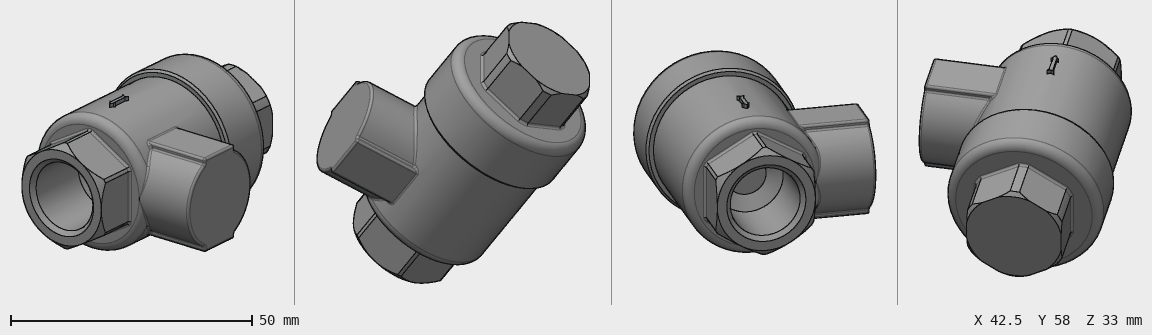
import cadquery as cq
import math

total_length = 58.0
inlet_hex_length = 9.5
body_length = 26.0
rear_hex_length = 10.0
body_front = inlet_hex_length
collar_front = body_front + body_length
collar_rear = total_length - rear_hex_length

body_radius = 15.0
collar_diameter = 33.0
collar_radius = collar_diameter / 2
shoulder_fillet = 2.05
small_fillet = 0.5
collar_chamfer = 0.5

inlet_flats = 21.0
inlet_bar_radius = 11.9
inlet_face_radius = inlet_flats / 2
rear_flats = 20.0
rear_bar_radius = 11.0
rear_face_radius = 10.2

bore_radius = 7.5
bore_mouth_radius = 8.45
bore_depth = 15.0
bore_floor_radius = 4.3
bore_tip_angle = 120.0
bore_cone_depth = (bore_radius - bore_floor_radius) / math.tan(math.radians(bore_tip_angle / 2))
bore_floor_depth = bore_depth + bore_cone_depth

overall_width = 42.5
port_radius = 10.5
port_end = overall_width - collar_radius
port_y = body_front + port_radius
rib_width = 10.0

arrow_tip = 16.05
arrow_tail = 21.5
arrow_half_width = 0.75
arrow_shaft_half_width = 0.4
arrow_head_length = 1.1
arrow_barb_slant = 0.3
arrow_tail_flare = 0.8
arrow_notch_depth = 0.45
arrow_top = 15.9


def along_y(start):
    """Workplane facing +Y at the given station, with local X along Z and local Y along X."""
    return cq.Workplane(cq.Plane(origin=(0, start, 0), xDir=(0, 0, 1), normal=(0, 1, 0)))


def revolve_about_y(points):
    """Full revolution about the main axis of a polygon given as (radius, station) points."""
    return cq.Workplane("XY").polyline(points).close().revolve(360, (0, 0, 0), (0, 1, 0))


def make_body():
    """Round body revolved about Y, with the shoulder round at its front built into the profile."""
    return (
        cq.Workplane("YZ")
        .moveTo(body_front, 0)
        .lineTo(body_front, body_radius - shoulder_fillet)
        .radiusArc((body_front + shoulder_fillet, body_radius), shoulder_fillet)
        .lineTo(collar_front, body_radius)
        .lineTo(collar_front, 0)
        .close()
        .revolve(360, (0, 0, 0), (1, 0, 0))
    )


def add_port(body):
    """Join the ribbed side port and blend its long edges and its junction with the body."""
    section = cq.Workplane("YZ").center(port_y, 0)
    barrel = section.circle(port_radius).extrude(port_end)
    ribs = section.rect(rib_width, 2 * port_radius).extrude(port_end)
    joined = body.union(barrel).union(ribs)

    blend_zone = cq.selectors.BoxSelector(
        (body_radius / 2, body_front + small_fillet, -body_radius),
        (port_end - small_fillet, collar_front - small_fillet, body_radius),
    )
    blended = joined.edges(blend_zone).fillet(small_fillet)
    return blended.faces(">X").edges().fillet(small_fillet)


def make_collar():
    """Collar rounded at its rear rim and chamfered at its front rim."""
    collar = along_y(collar_front).circle(collar_radius).extrude(collar_rear - collar_front)
    collar = collar.faces(">Y").edges().fillet(shoulder_fillet)
    return collar.faces("<Y").edges().chamfer(collar_chamfer)


def add_hex_end(solid, flats, bar_radius, face_radius, root, tip):
    """Add a hexagonal end from root to tip, fillet its root and bevel its outer corners."""
    length = abs(tip - root)
    corner_diameter = flats / math.cos(math.pi / 6)
    bar = revolve_about_y([(0, root), (bar_radius, root), (bar_radius, tip), (0, tip)])
    hexagon = along_y(min(root, tip)).polygon(6, corner_diameter).extrude(length).intersect(bar)
    joined = solid.union(hexagon)

    margin = 0.05
    reach = bar_radius + margin
    root_zone = cq.selectors.BoxSelector(
        (-reach, root - margin, -reach),
        (reach, root + margin, reach),
        boundingbox=True,
    )
    filleted = joined.edges(root_zone).fillet(small_fillet)

    bevel = bar_radius - face_radius
    inward = math.copysign(bevel, root - tip)
    corner_ring = revolve_about_y([
        (face_radius, tip),
        (bar_radius + bevel, tip),
        (bar_radius + bevel, tip + 2 * inward),
    ])
    return filleted.cut(corner_ring)


def make_bore():
    """Solid to remove from the inlet hexagon and body."""
    return revolve_about_y([
        (0, 0),
        (bore_mouth_radius, 0),
        (bore_radius, bore_mouth_radius - bore_radius),
        (bore_radius, bore_depth),
        (bore_floor_radius, bore_floor_depth),
        (0, bore_floor_depth),
    ])


def make_arrow():
    """Flat-topped arrow with a barbed head and a notched tail."""
    head_base = arrow_tip + arrow_head_length
    flare_start = arrow_tail - arrow_tail_flare
    right_side = [
        (arrow_half_width, head_base),
        (arrow_shaft_half_width, head_base - arrow_barb_slant),
        (arrow_shaft_half_width, flare_start),
        (arrow_half_width, arrow_tail),
    ]
    left_side = [(-x, y) for x, y in reversed(right_side)]
    notch = (0, arrow_tail - arrow_notch_depth)
    outline = [(0, arrow_tip)] + right_side + [notch] + left_side
    arrow_base = body_radius - shoulder_fillet
    base_plane = cq.Workplane("XY", origin=(0, 0, arrow_base))
    return base_plane.polyline(outline).close().extrude(arrow_top - arrow_base)


inlet_half = add_hex_end(make_body(), inlet_flats, inlet_bar_radius, inlet_face_radius, body_front, 0)
inlet_half = add_port(inlet_half)
rear_half = add_hex_end(make_collar(), rear_flats, rear_bar_radius, rear_face_radius, collar_rear, total_length)
result = inlet_half.union(rear_half).union(make_arrow()).cut(make_bore())